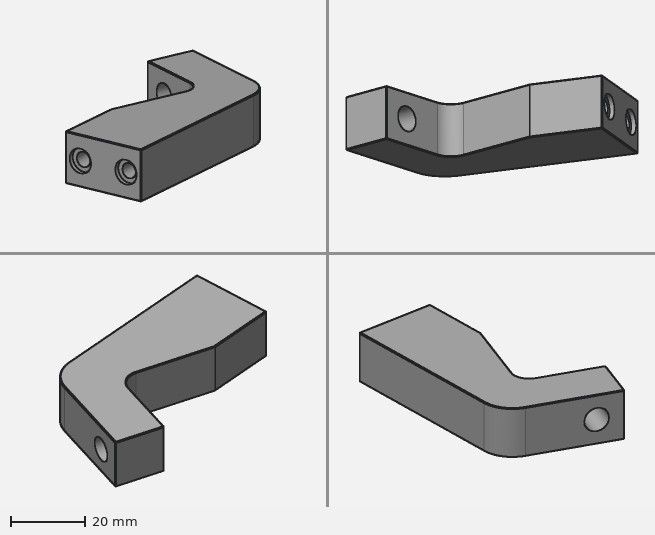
import cadquery as cq
import math

thickness = 15.0
grip_width = 25.0
grip_side = 21.1
arm_width = 15.0
arm_length = 35.5
overall_length = 71.15
arm_angle = math.radians(20)
outer_radius = 9.95
inner_radius = 5.0
edge_chamfer = 0.3

arm_hole_diameter = 7.05
arm_hole_from_tip = 8.05
screw_spacing = 15.0
screw_edge_distance = 5.0
screw_diameter = 4.35
screw_depth = 14.2
drill_point_angle = math.radians(118)
recess_diameter = 7.05
recess_depth = 1.4

along = cq.Vector(math.cos(arm_angle), -math.sin(arm_angle), 0)
across = cq.Vector(-math.sin(arm_angle), -math.cos(arm_angle), 0)

outer_corner_y = overall_length - (arm_length - edge_chamfer) * math.sin(arm_angle)
outer_corner = cq.Vector(0, outer_corner_y, 0)
tip_outer = outer_corner - along * arm_length
tip_inner = tip_outer + across * arm_width
grip_shoulder = cq.Vector(-grip_width, grip_side, 0)
inner_corner = tip_inner + along * (grip_shoulder - tip_inner).dot(along)


def make_body():
    corners = [
        cq.Vector(0, 0, 0),
        outer_corner,
        tip_outer,
        tip_inner,
        inner_corner,
        grip_shoulder,
        cq.Vector(-grip_width, 0, 0),
    ]
    body = (
        cq.Workplane("XY")
        .polyline([(p.x, p.y) for p in corners])
        .close()
        .extrude(thickness / 2, both=True)
    )
    body = round_corner(body, outer_corner, outer_radius)
    body = round_corner(body, inner_corner, inner_radius)

    square_corners = (corners[0], tip_outer, tip_inner, corners[-1])
    uprights = [upright_edge(body, corner) for corner in square_corners]
    rims = body.faces("|Z").edges().vals()
    return body.newObject(rims + uprights).chamfer(edge_chamfer)


def upright_edge(body, corner):
    """Find the upright edge that stands on an outline corner."""
    return body.edges("|Z").edges(cq.NearestToPointSelector(corner.toTuple())).val()


def round_corner(body, corner, radius):
    """Round the upright edge that stands on an outline corner."""
    return body.newObject([upright_edge(body, corner)]).fillet(radius)


def make_arm_hole():
    """Plain hole through the arm, square to its sides."""
    start = tip_outer + along * arm_hole_from_tip
    return cq.Workplane(cq.Solid.makeCylinder(arm_hole_diameter / 2, arm_width, start, across))


def make_screw_hole(x):
    """Recessed blind hole with a drill point, entering from the grip end face at Y = 0."""
    radius = screw_diameter / 2
    point_depth = radius / math.tan(drill_point_angle / 2)
    profile = [
        (x, 0),
        (x + recess_diameter / 2, 0),
        (x + recess_diameter / 2, recess_depth),
        (x + radius, recess_depth),
        (x + radius, screw_depth),
        (x, screw_depth + point_depth),
    ]
    return cq.Workplane("XY").polyline(profile).close().revolve(360, (x, 0), (x, 1))


result = make_body().cut(make_arm_hole())
for screw_x in (-screw_edge_distance, -screw_edge_distance - screw_spacing):
    result = result.cut(make_screw_hole(screw_x))